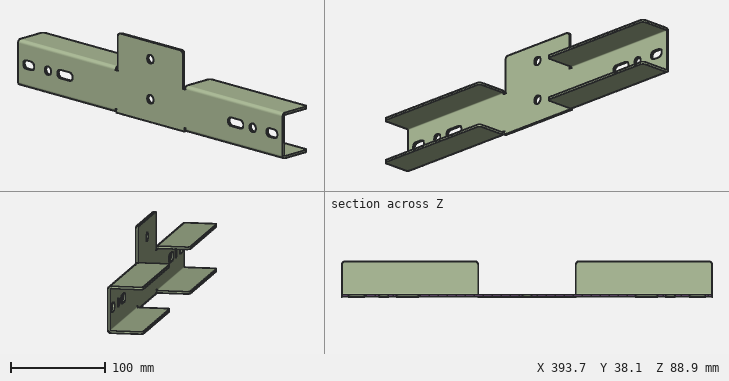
import cadquery as cq

length = 393.7
depth = 38.1
total_height = 88.9
channel_height = 50.8
thickness = 2.66
bend_inner_radius = 1.2
bend_outer_radius = bend_inner_radius + thickness

flange_length = 145.2
tab_relief = 3.25
tongue_relief = 1.05
flange_gap = length - 2 * flange_length
tab_width = flange_gap - 2 * tab_relief
tongue_width = flange_gap - 2 * tongue_relief
corner_radius = 3.81

hole_diameter = 9.525
web_hole_height = channel_height / 2
tab_hole_height = 69.85
end_slot_inset = 15.875
end_slot_length = 16.5
arm_hole_inset = 44.45
inner_slot_inset = 69.85
inner_slot_length = 22.9

front_face_y = -depth / 2
half_length = length / 2


def web_plate(width, bottom, top):
    """Flat plate in the web, centred on X, between two heights."""
    plate = cq.Workplane("XY").box(width, thickness, top - bottom, centered=(True, False, False))
    return plate.translate((0, front_face_y, bottom))


def channel_arm(start_x):
    """U-channel length with bent corners and rounded flange tips."""
    blank = (
        cq.Workplane("XY")
        .box(flange_length, depth, channel_height, centered=False)
        .edges("|X and <Y")
        .fillet(bend_outer_radius)
    )
    inside = (
        cq.Workplane("XY")
        .box(flange_length, depth, channel_height - 2 * thickness, centered=False)
        .edges("|X and <Y")
        .fillet(bend_inner_radius)
        .translate((0, thickness, thickness))
    )
    arm = blank.cut(inside).edges("|Z and >Y").fillet(corner_radius)
    return arm.translate((start_x, front_face_y, 0))


def centre_plate():
    """Web spanning both arms, with the upright tab and the lower tongue."""
    tab = web_plate(tab_width, web_hole_height, total_height)
    tab = tab.edges("|Y and >Z").fillet(corner_radius)
    web = web_plate(length, bend_outer_radius, channel_height - bend_outer_radius)
    tongue = web_plate(tongue_width, 0, web_hole_height)
    return web.union(tab).union(tongue)


def web_cutter(x, z, opening_length=hole_diameter):
    """Cutter through the web: a round hole, or a slot along X when longer."""
    plane = cq.Workplane("XZ", origin=(x, front_face_y + thickness, z))
    if opening_length > hole_diameter:
        outline = plane.slot2D(opening_length, hole_diameter)
    else:
        outline = plane.circle(hole_diameter / 2)
    return outline.extrude(thickness)


bracket = centre_plate()
for arm_start in (-half_length, half_length - flange_length):
    bracket = bracket.union(channel_arm(arm_start))

for hole_height in (web_hole_height, tab_hole_height):
    bracket = bracket.cut(web_cutter(0, hole_height))

arm_openings = [
    (end_slot_inset, end_slot_length),
    (arm_hole_inset, hole_diameter),
    (inner_slot_inset, inner_slot_length),
]
for side in (-1, 1):
    for inset, opening_length in arm_openings:
        opening_x = side * (half_length - inset)
        bracket = bracket.cut(web_cutter(opening_x, web_hole_height, opening_length))

result = bracket